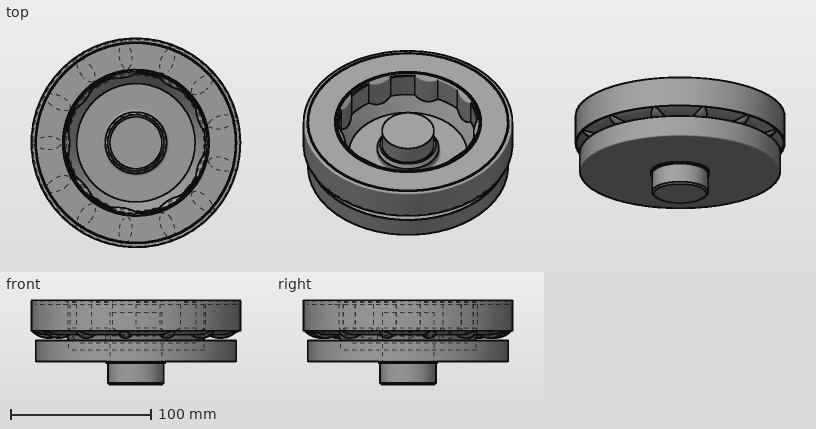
import cadquery as cq
import math

overall_height = 60.15
bush_shoulder_z = 15.1
disc_bottom_z = 16.3
disc_top_z = 31.6
bowl_floor_z = 29.7
bowl_floor_thickness = 5.0
bowl_bottom_z = bowl_floor_z - bowl_floor_thickness
bowl_top_z = 40.6
hub_top_z = 37.9
shaft_top_z = 51.6
underside_z = 35.5
rim_bottom_z = 38.4

bush_diameter = 40.0
bush_flange_diameter = 42.0
bush_end_chamfer = 1.3

disc_diameter = 143.1
disc_top_chamfer = 0.25
disc_bottom_fillet = 1.0

shaft_diameter = 37.0
hub_diameter = 43.9
hub_top_diameter = 40.0
hub_fillet = 2.0
hub_chamfer_height = 3.0

rim_radius = 149.2 / 2
rim_fillet = 0.9
neck_top_radius = 49.7
neck_bottom_radius = 48.3
underside_flat_radius = 63.0
underside_outer_radius = 73.7

opening_radius = 49.3
opening_lead_radius = 50.8
opening_lead_slope = 0.8
opening_lip_fillet = 1.0

lip_zone_depth = 5.0
lip_zone_clearance = 0.3

bowl_floor_radius = 42.2
lobe_count = 9
lobe_inner_radius = 47.2
lobe_width = 17.0

ridge_count = 13
ridge_centre_radius = 62.0
ridge_half_length = 12.5
ridge_bulge = 11.12 / 2
ridge_axis_z = rim_bottom_z + 0.2

recess_outer_diameter = 143.6
recess_inner_diameter = 104.0
cover_outer_diameter = 143.1
cover_inner_diameter = 104.13
cover_thickness = 3.0
cover_outer_chamfer = 0.5
cover_inner_chamfer = 0.25


def revolve_profile(profile):
    """Turn a closed (radius, z) profile around the Z axis."""
    return profile.close().revolve(360, (0, 0, 0), (0, 1, 0))


def cylinder(diameter, bottom_z, top_z):
    return cq.Workplane("XY").workplane(offset=bottom_z).circle(diameter / 2).extrude(top_z - bottom_z)


def make_bush():
    stub = cylinder(bush_diameter, 0, bush_shoulder_z).faces("<Z").chamfer(bush_end_chamfer)
    return stub.union(cylinder(bush_flange_diameter, bush_shoulder_z, disc_bottom_z))


def make_shaft():
    return cylinder(shaft_diameter, disc_bottom_z, shaft_top_z)


def make_disc():
    plate = cylinder(disc_diameter, disc_bottom_z, disc_top_z)
    plate = plate.faces(">Z").chamfer(disc_top_chamfer).faces("<Z").edges().fillet(disc_bottom_fillet)
    bowl_seat = cylinder(2 * neck_bottom_radius, bowl_bottom_z, disc_top_z)
    return plate.cut(bowl_seat).cut(cylinder(shaft_diameter, disc_bottom_z, disc_top_z))


def make_wheel_blank():
    """Solid outside shape of the handwheel, with a rounded underside below the rim."""
    arc_width = underside_outer_radius - underside_flat_radius
    arc_height = rim_bottom_z - underside_z
    arc_radius = (arc_width**2 + arc_height**2) / (2 * arc_height)
    half_angle = math.asin(arc_width / arc_radius) / 2
    arc_middle = (
        underside_flat_radius + arc_radius * math.sin(half_angle),
        underside_z + arc_radius * (1 - math.cos(half_angle)),
    )
    return revolve_profile(
        cq.Workplane("XZ")
        .moveTo(0, bowl_bottom_z)
        .lineTo(neck_bottom_radius, bowl_bottom_z)
        .lineTo(neck_bottom_radius, disc_top_z)
        .lineTo(neck_top_radius, underside_z)
        .lineTo(underside_flat_radius, underside_z)
        .threePointArc(arc_middle, (underside_outer_radius, rim_bottom_z))
        .lineTo(rim_radius, rim_bottom_z)
        .lineTo(rim_radius, overall_height)
        .lineTo(0, overall_height)
    )


def make_hub():
    """Collar around the shaft, blended into the bowl floor and tapered at its top."""
    hub_radius = hub_diameter / 2
    fillet_middle = hub_fillet * (1 - math.sqrt(0.5))
    return revolve_profile(
        cq.Workplane("XZ")
        .moveTo(0, bowl_floor_z)
        .lineTo(hub_radius + hub_fillet, bowl_floor_z)
        .threePointArc(
            (hub_radius + fillet_middle, bowl_floor_z + fillet_middle),
            (hub_radius, bowl_floor_z + hub_fillet),
        )
        .lineTo(hub_radius, hub_top_z - hub_chamfer_height)
        .lineTo(hub_top_diameter / 2, hub_top_z)
        .lineTo(0, hub_top_z)
    )


def make_ridge(angle):
    """Spindle-shaped finger ridge lying along a radius of the rim."""
    inner_end = ridge_centre_radius - ridge_half_length
    outer_end = ridge_centre_radius + ridge_half_length
    ridge = (
        cq.Workplane("XZ")
        .moveTo(inner_end, ridge_axis_z)
        .threePointArc((ridge_centre_radius, ridge_axis_z - ridge_bulge), (outer_end, ridge_axis_z))
        .close()
        .revolve(360, (inner_end, ridge_axis_z, 0), (outer_end, ridge_axis_z, 0))
    )
    return ridge.rotate((0, 0, 0), (0, 0, 1), angle)


def make_opening():
    """Bowl-shaped opening with inward lobes along its upper wall."""
    opening = revolve_profile(
        cq.Workplane("XZ")
        .moveTo(0, bowl_floor_z)
        .lineTo(bowl_floor_radius, bowl_floor_z)
        .lineTo(opening_radius, bowl_top_z)
        .lineTo(opening_radius, overall_height)
        .lineTo(0, overall_height)
    )
    half_width = lobe_width / 2
    end_radius = math.sqrt(opening_radius**2 - half_width**2)
    sag = end_radius - lobe_inner_radius
    lobe_radius = (half_width**2 + sag**2) / (2 * sag)
    for index in range(lobe_count):
        lobe = (
            cq.Workplane("XY")
            .workplane(offset=bowl_floor_z)
            .center(lobe_inner_radius + lobe_radius, 0)
            .circle(lobe_radius)
            .extrude(overall_height - bowl_floor_z)
            .rotate((0, 0, 0), (0, 0, 1), 180 + index * 360 / lobe_count)
        )
        opening = opening.cut(lobe)
    return opening


def make_lead_in():
    """Conical lead-in that bevels the mouth of the opening and the lobe tops."""
    depth = opening_lead_radius * opening_lead_slope
    return revolve_profile(
        cq.Workplane("XZ")
        .moveTo(0, overall_height)
        .lineTo(opening_lead_radius, overall_height)
        .lineTo(0, overall_height - depth)
    )


def make_ring(outer_diameter, inner_diameter):
    return (
        cq.Workplane("XY")
        .workplane(offset=overall_height - cover_thickness)
        .circle(outer_diameter / 2)
        .circle(inner_diameter / 2)
        .extrude(cover_thickness)
    )


def make_handwheel():
    wheel = make_wheel_blank()
    for index in range(ridge_count):
        wheel = wheel.union(make_ridge(180 + index * 360 / ridge_count))
    wheel = wheel.cut(make_opening()).cut(make_lead_in())
    lip_zone = cq.selectors.BoxSelector(
        (-opening_radius, -opening_radius, overall_height - lip_zone_depth),
        (opening_radius, opening_radius, overall_height - lip_zone_clearance),
    )
    wheel = wheel.edges(lip_zone).fillet(opening_lip_fillet)
    wheel = wheel.faces(">Z").edges(cq.selectors.RadiusNthSelector(-1)).fillet(rim_fillet)
    wheel = wheel.cut(make_ring(recess_outer_diameter, recess_inner_diameter))
    return wheel.union(make_hub()).cut(cylinder(shaft_diameter, bowl_bottom_z, hub_top_z))


def make_cover():
    cover = make_ring(cover_outer_diameter, cover_inner_diameter)
    cover = cover.faces(">Z").edges(cq.selectors.RadiusNthSelector(1)).chamfer(cover_outer_chamfer)
    return cover.faces(">Z").edges(cq.selectors.RadiusNthSelector(0)).chamfer(cover_inner_chamfer)


bush = make_bush()
shaft = make_shaft()
disc = make_disc()
handwheel = make_handwheel()
cover = make_cover()

result = cq.Compound.makeCompound(
    [bush.val(), shaft.val(), disc.val(), handwheel.val(), cover.val()]
)